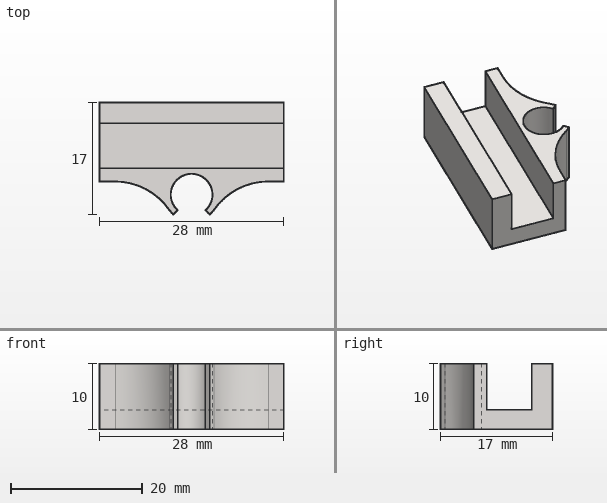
import cadquery as cq
import math

length = 28.0
height = 10.0
floor_thickness = 3.0
back_wall = 3.2
channel_width = 6.8
front_wall = 2.02
body_depth = back_wall + channel_width + front_wall

socket_diameter = 6.3
socket_centre_y = -14.0
flat_length = 2.38
flare_radius = 10.0
flare_angle = math.radians(55.5)
tip_x = 2.77
tip_y = -17.02
lip_x = 2.1

socket_radius = socket_diameter / 2
half_length = length / 2
flare_start_x = half_length - flat_length
front_y = -body_depth


def flare_point(angle):
    """Point on the concave flare, turned by angle from its tangent start."""
    x = flare_start_x - flare_radius * math.sin(angle)
    y = front_y - flare_radius * (1 - math.cos(angle))
    return x, y


def mirrored(point):
    return -point[0], point[1]


flare_middle = flare_point(flare_angle / 2)
flare_end = flare_point(flare_angle)
tip = (tip_x, tip_y)
socket_mouth_y = socket_centre_y - math.sqrt(socket_radius**2 - lip_x**2)
socket_mouth = (lip_x, socket_mouth_y)
socket_top = (0, socket_centre_y + socket_radius)

outline = (
    cq.Workplane("XY")
    .moveTo(-half_length, 0)
    .lineTo(half_length, 0)
    .lineTo(half_length, front_y)
    .lineTo(flare_start_x, front_y)
    .threePointArc(flare_middle, flare_end)
    .lineTo(*tip)
    .lineTo(*socket_mouth)
    .threePointArc(socket_top, mirrored(socket_mouth))
    .lineTo(*mirrored(tip))
    .lineTo(*mirrored(flare_end))
    .threePointArc(mirrored(flare_middle), (-flare_start_x, front_y))
    .lineTo(-half_length, front_y)
    .close()
)
body = outline.extrude(height)

channel = (
    cq.Workplane("XY")
    .box(length, channel_width, height - floor_thickness, centered=(True, False, False))
    .translate((0, -back_wall - channel_width, floor_thickness))
)

result = body.cut(channel)